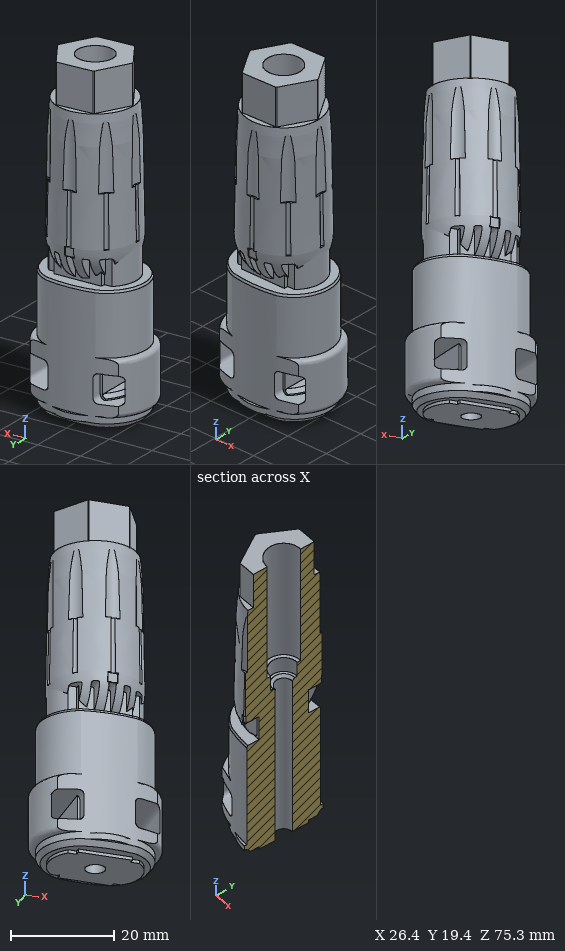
import cadquery as cq
import math

total_height = 75.35
overall_length = 26.4
sleeve_radius = 9.7

end_center_x = 2.8
face_half_depth = 9.1
face_arc_radius = 28.6
shell_end_radius = 9.0
shell_face_join_x = 5.8
shell_bottom_z = 0.7
shell_top_z = 29.85
shell_top_bevel_width = 0.26
shell_top_bevel_height = 0.5
shell_bottom_chamfer_width = 0.9
shell_bottom_chamfer_height = 1.1

foot_end_radius = overall_length / 2 - end_center_x
foot_bottom_z = 3.3
foot_top_z = 15.7
foot_fillet = 1.05

collar_bottom_z = shell_bottom_z + shell_bottom_chamfer_height
collar_top_z = 3.2

window_inner_x = 5.3
window_outer_x = 11.15
window_bottom_z = 5.95
window_top_z = 12.35
window_corner_radius = 1.1
core_half_width = 5.8
ledge_radius = 8.9
ledge_top_z = 7.1
ledge_chamfer = 0.8

insert_end_radius = 6.85
insert_half_depth = 6.1
insert_flat_half_length = 5.6
insert_shoulder_y = 5.1

sleeve_bottom_z = 38.0
sleeve_shoulder_z = 59.6
sleeve_shoulder_radius = 9.35
sleeve_band_z = 64.35
sleeve_band_radius = 9.05
sleeve_top_z = 66.4
sleeve_top_radius = 8.8
sleeve_turn = 2.0

slot_top_z = 35.95
slot_corner_radius = 0.45
slot_floor_y = 4.5
dome_slots = [(-6.6, 1.95), (-3.3, 1.5), (0.0, 1.5), (3.3, 1.5), (6.6, 1.95)]

notch_width = 2.1
notch_floor_y = 9.3

groove_count = 8
groove_bottom_z = 49.8
groove_floor_radius = 9.0
groove_cutter_radius = 2.95
line_width = 1.0
line_floor_radius = 9.3

hex_across_flats = 15.0
hex_corner_radius = 8.6
bore_radius = 4.1
bore_bottom_z = 45.2
seat_radius = 3.25
seat_bottom_z = 41.45
countersink_radius = 2.6
through_radius = 2.0


def face_y(x):
    """Half depth of the bulged face at a given X."""
    crown_drop = face_arc_radius - math.sqrt(face_arc_radius**2 - x**2)
    return face_half_depth - crown_drop


def shell_oval(start_z, height, taper=0):
    """Oval with bulged faces and rounded ends, extruded from a start level."""
    end_x = end_center_x + shell_end_radius
    join_x = shell_face_join_x
    join_y = face_y(join_x)
    return (
        cq.Workplane("XY", origin=(0, 0, start_z))
        .moveTo(-join_x, join_y)
        .threePointArc((0, face_half_depth), (join_x, join_y))
        .threePointArc((end_x, 0), (join_x, -join_y))
        .threePointArc((0, -face_half_depth), (-join_x, -join_y))
        .threePointArc((-end_x, 0), (-join_x, join_y))
        .close()
        .extrude(height, taper=taper)
    )


def stadium(end_radius, bottom_z, top_z):
    """Upright stadium bar whose end axes sit at the common end centres."""
    return (
        cq.Workplane("XY", origin=(0, 0, bottom_z))
        .slot2D(2 * (end_center_x + end_radius), 2 * end_radius)
        .extrude(top_z - bottom_z)
    )


def disc(radius, bottom_z, top_z):
    return cq.Workplane("XY", origin=(0, 0, bottom_z)).circle(radius).extrude(top_z - bottom_z)


def span_box(x0, x1, y0, y1, z0, z1):
    """Box given by its limits on each axis."""
    return cq.Workplane("XY").box(x1 - x0, y1 - y0, z1 - z0, centered=False).translate((x0, y0, z0))


def make_shell():
    bevel_start_z = shell_top_z - shell_top_bevel_height
    top_taper = math.degrees(math.atan(shell_top_bevel_width / shell_top_bevel_height))
    bottom_taper = math.degrees(math.atan(shell_bottom_chamfer_width / shell_bottom_chamfer_height))
    walls = shell_oval(collar_bottom_z, bevel_start_z - collar_bottom_z)
    top_bevel = shell_oval(bevel_start_z, shell_top_bevel_height, top_taper)
    bottom_chamfer = shell_oval(collar_bottom_z, -shell_bottom_chamfer_height, bottom_taper)
    return walls.union(top_bevel).union(bottom_chamfer)


def make_foot():
    """Rounded ends with filleted rims, trimmed by the same bulged faces as the shell."""
    ends = stadium(foot_end_radius, foot_bottom_z, foot_top_z).faces("<Z or >Z").edges().fillet(foot_fillet)
    half_length = overall_length / 2
    bulge = (
        cq.Workplane("XY", origin=(0, 0, foot_bottom_z))
        .moveTo(-half_length, face_y(half_length))
        .threePointArc((0, face_half_depth), (half_length, face_y(half_length)))
        .lineTo(half_length, -face_y(half_length))
        .threePointArc((0, -face_half_depth), (-half_length, -face_y(half_length)))
        .close()
        .extrude(foot_top_z - foot_bottom_z)
    )
    return ends.intersect(bulge)


def make_windows():
    """Openings through the foot along Y, leaving the core and a round ledge inside."""
    width = window_outer_x - window_inner_x
    height = window_top_z - window_bottom_z
    cutters = None
    for side in (-1, 1):
        opening = (
            cq.Workplane("XY")
            .box(width, overall_length, height)
            .edges("|Y")
            .fillet(window_corner_radius)
            .translate((
                side * (window_inner_x + window_outer_x) / 2,
                0,
                (window_bottom_z + window_top_z) / 2,
            ))
        )
        cutters = opening if cutters is None else cutters.union(opening)
    core = span_box(
        -core_half_width, core_half_width, -insert_half_depth, insert_half_depth,
        window_bottom_z, window_top_z,
    )
    ledge = disc(ledge_radius, window_bottom_z, ledge_top_z).faces(">Z").edges().chamfer(ledge_chamfer)
    ledge = ledge.intersect(
        span_box(
            -ledge_radius, ledge_radius, -insert_half_depth, insert_half_depth,
            window_bottom_z, ledge_top_z,
        )
    )
    return cutters.cut(core).cut(ledge)


def make_insert():
    """Bar with rounded ends, low shoulders and raised flats on front and back."""
    bar = stadium(insert_end_radius, 0, sleeve_bottom_z)
    shoulder_limits = span_box(
        -sleeve_radius, sleeve_radius, -insert_shoulder_y, insert_shoulder_y, 0, sleeve_bottom_z,
    )
    flats = span_box(
        -insert_flat_half_length, insert_flat_half_length, -insert_half_depth, insert_half_depth,
        0, sleeve_bottom_z,
    )
    return bar.intersect(shoulder_limits).union(flats)


def make_sleeve():
    """Turned grip sleeve with a spherical dome below it."""
    end_angle = math.acos(insert_half_depth / sleeve_radius)
    dome_bottom_z = sleeve_bottom_z - sleeve_radius * math.sin(end_angle)
    arc_mid = (
        sleeve_radius * math.cos(end_angle / 2),
        sleeve_bottom_z - sleeve_radius * math.sin(end_angle / 2),
    )
    return (
        cq.Workplane("XZ")
        .moveTo(0, dome_bottom_z)
        .lineTo(insert_half_depth, dome_bottom_z)
        .threePointArc(arc_mid, (sleeve_radius, sleeve_bottom_z))
        .lineTo(sleeve_shoulder_radius, sleeve_shoulder_z)
        .lineTo(sleeve_band_radius, sleeve_band_z)
        .lineTo(sleeve_top_radius, sleeve_top_z)
        .lineTo(0, sleeve_top_z)
        .close()
        .revolve(360, (0, 0, 0), (0, 1, 0))
    )


def make_grip_grooves():
    """Round-bottomed grooves, each with a fine line running on down to the dome."""
    groove = (
        cq.Workplane("XY", origin=(groove_floor_radius + groove_cutter_radius, 0, groove_bottom_z))
        .circle(groove_cutter_radius)
        .extrude(sleeve_top_z - groove_bottom_z)
    )
    line_radius = line_width / 2
    line = (
        cq.Workplane("XY", origin=(line_floor_radius + line_radius, 0, sleeve_bottom_z))
        .circle(line_radius)
        .extrude(groove_bottom_z - sleeve_bottom_z)
    )
    cutter = groove.union(line)
    pattern = cq.Workplane("XY")
    for index in range(groove_count):
        angle = sleeve_turn + index * 360 / groove_count
        pattern = pattern.add(cutter.rotate((0, 0, 0), (0, 0, 1), angle))
    return pattern.combine()


def make_dome_slots():
    """Slots entering the dome from front and back, open at its lower end."""
    depth = sleeve_radius - slot_floor_y
    middle_y = slot_floor_y + depth / 2
    middle_z = (slot_top_z + shell_top_z) / 2
    pattern = cq.Workplane("XY")
    for center_x, width in dome_slots:
        slot = (
            cq.Workplane("XY")
            .box(width, depth, slot_top_z - shell_top_z)
            .edges("|Y and >Z")
            .fillet(slot_corner_radius)
        )
        for y in (-middle_y, middle_y):
            placed_slot = slot.translate((center_x, y, middle_z))
            pattern = pattern.add(placed_slot.rotate((0, 0, 0), (0, 0, 1), sleeve_turn))
    return pattern.combine()


def make_dome_notches():
    """Shallow flat notches between the middle slots and the sleeve."""
    block = span_box(
        -notch_width / 2, notch_width / 2, -sleeve_radius, sleeve_radius, slot_top_z, sleeve_bottom_z,
    )
    keep = span_box(
        -notch_width / 2, notch_width / 2, -notch_floor_y, notch_floor_y, slot_top_z, sleeve_bottom_z,
    )
    return block.cut(keep).rotate((0, 0, 0), (0, 0, 1), sleeve_turn)


def make_hexagon():
    height = total_height - sleeve_top_z
    corner_diameter = hex_across_flats / math.cos(math.pi / 6)
    prism = cq.Workplane("XY", origin=(0, 0, sleeve_top_z)).polygon(6, corner_diameter).extrude(height)
    trim_diameter = 2 * hex_corner_radius / math.cos(math.pi / 6)
    trim = (
        cq.Workplane("XY", origin=(0, 0, sleeve_top_z))
        .polygon(6, trim_diameter)
        .extrude(height)
        .rotate((0, 0, 0), (0, 0, 1), 30)
    )
    return prism.intersect(trim).rotate((0, 0, 0), (0, 0, 1), sleeve_turn)


def make_bore():
    """Stepped bore open at the top, tapering to the through hole."""
    taper_end_z = seat_bottom_z - (countersink_radius - through_radius)
    return (
        cq.Workplane("XZ")
        .moveTo(0, 0)
        .lineTo(through_radius, 0)
        .lineTo(through_radius, taper_end_z)
        .lineTo(countersink_radius, seat_bottom_z)
        .lineTo(seat_radius, seat_bottom_z)
        .lineTo(seat_radius, bore_bottom_z)
        .lineTo(bore_radius, bore_bottom_z)
        .lineTo(bore_radius, total_height)
        .lineTo(0, total_height)
        .close()
        .revolve(360, (0, 0, 0), (0, 1, 0))
    )


base = make_shell().union(make_foot()).union(disc(sleeve_radius, collar_bottom_z, collar_top_z))
base = base.union(make_insert()).cut(make_windows())
handle = make_sleeve().cut(make_grip_grooves()).cut(make_dome_notches()).cut(make_dome_slots())
handle = handle.union(make_hexagon())
result = base.union(handle).cut(make_bore())